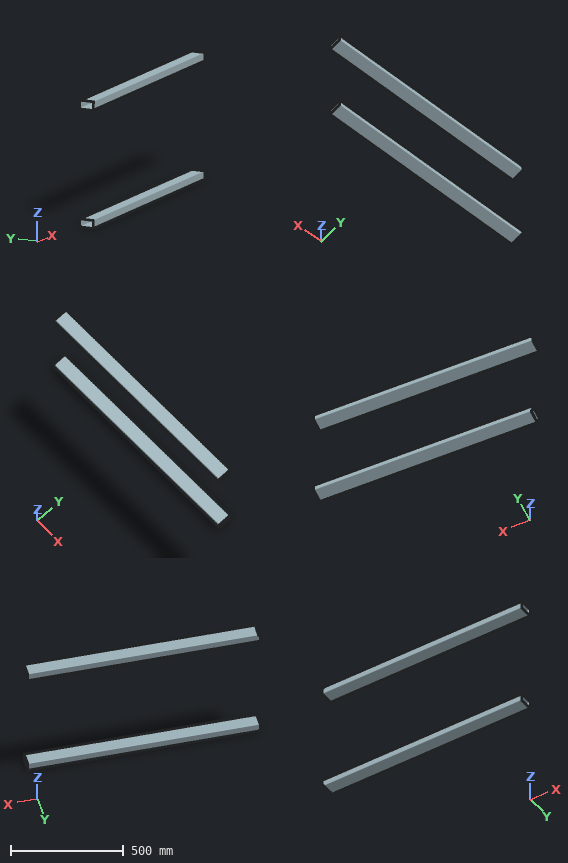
import cadquery as cq

length = 1062.96
width = 70.0
overall_height = 580.0

rail_height = 40.0
wall = 2.0
outer_radius = 2.5
inner_radius = outer_radius - wall

bevel_length = 7.4
bevel_height = 11.0


def rounded_bar(bar_width, bar_height, corner_radius):
    """Full-length bar along X with rounded long edges, centred on the origin."""
    return cq.Workplane("XY").box(length, bar_width, bar_height).edges("|X").fillet(corner_radius)


def end_bevel():
    """Triangular prism that trims the top corner of the -X end over the full width."""
    end_x = -length / 2
    top_z = rail_height / 2
    corners = [
        (end_x, top_z),
        (end_x + bevel_length, top_z),
        (end_x, top_z - bevel_height),
    ]
    return cq.Workplane("XZ").polyline(corners).close().extrude(width / 2, both=True)


def make_rail():
    """Open-ended rectangular tube with its -X end bevelled at the top."""
    tube = rounded_bar(width, rail_height, outer_radius)
    bore = rounded_bar(width - 2 * wall, rail_height - 2 * wall, inner_radius)
    return tube.cut(bore).cut(end_bevel())


rail_center_z = (overall_height - rail_height) / 2
upper_rail = make_rail().translate((0, 0, rail_center_z))
lower_rail = upper_rail.mirror("XY")

result = cq.Compound.makeCompound([upper_rail.val(), lower_rail.val()])